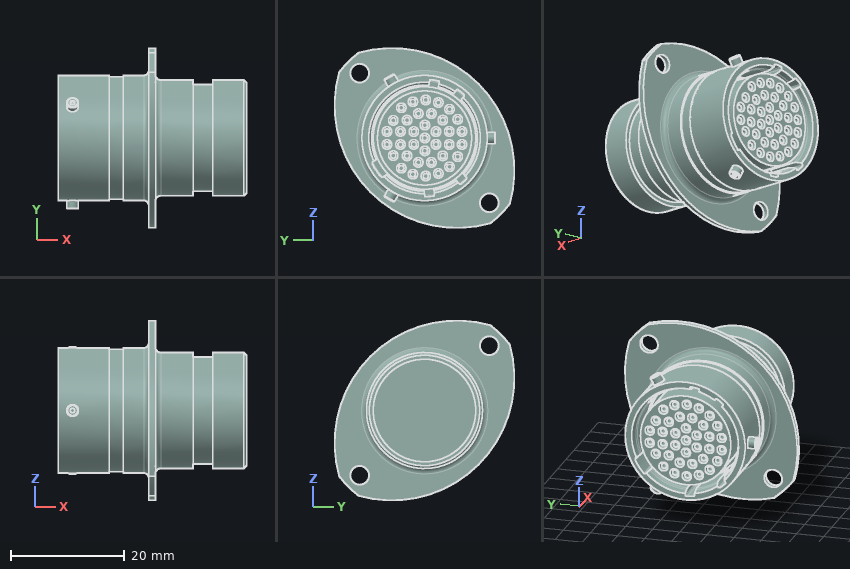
import cadquery as cq
import math


LENGTH = 33.3
FRONT_GROOVE_START = 9.0
FRONT_GROOVE_END = 11.53
FLANGE_FRONT = 16.0
FLANGE_THICKNESS = 1.2
FLANGE_BACK = FLANGE_FRONT + FLANGE_THICKNESS
REAR_GROOVE_START = 23.85
REAR_GROOVE_END = 27.28

BARREL_DIAMETER = 22.15
BARREL_RADIUS = BARREL_DIAMETER / 2
FRONT_GROOVE_DEPTH = 0.23
FRONT_GROOVE_RADIUS = BARREL_RADIUS - FRONT_GROOVE_DEPTH
REAR_RADIUS = 10.25
REAR_GROOVE_RADIUS = 9.45
ROOT_FILLET = 0.9
REAR_CHAMFER = 0.5

FLANGE_TILT = 45.0
SIDE_ARC_RADIUS = 21.65
SIDE_ARC_OFFSET = 8.13
TIP_ARC_RADIUS = 19.05
MOUNT_HOLE_RADIUS = 1.63
MOUNT_HOLE_DISTANCE = 16.2

SOCKET_MOUTH_RADIUS = 9.85
SOCKET_THROAT_RADIUS = 9.45
SOCKET_RADIUS = 9.35
SOCKET_MOUTH_DEPTH = 1.13
SOCKET_THROAT_DEPTH = 1.65
SOCKET_DEPTH = 8.0

NARROW_KEYWAY_WIDTH = 1.73
NARROW_KEYWAY_REACH = 10.35
WIDE_KEYWAY_WIDTH = 3.23
WIDE_KEYWAY_REACH = 10.25
KEYWAY_FILLET = 0.25
NARROW_KEYWAY_ANGLES = [80.0, 51.5, -48.0, -85.0]
WIDE_KEYWAY_ANGLE = 214.0

INSERT_RADIUS = 9.05
INSERT_NOSE_RADIUS = 8.33
INSERT_RECESS = 0.33

SEAL_RADIUS = 10.4
SEAL_THICKNESS = 1.0
SEAL_FILLET = 0.3
SEAL_BACK = SOCKET_DEPTH + SEAL_THICKNESS

CAVITY_MOUTH_RADIUS = 0.83
CAVITY_BORE_RADIUS = 0.45
CAVITY_CONE_DEPTH = 0.4
CAVITY_DEPTH = 2.65
INNER_RINGS_OFFSET = -0.05
INNER_RING_RADIUS = 2.25
MIDDLE_RING_RADIUS = 4.45
OUTER_RING_RADIUS = 6.73
OUTER_RING_STEP = 19.6
ODD_CAVITY_RADIUS = 6.33
ODD_CAVITY_ANGLE = 150.6

PIN_COUNT = 3
PIN_POSITION = 2.53
PIN_RADIUS = 1.03
PIN_TIP = 12.52
PIN_ROOT = 10.5
PIN_CHAMFER = 0.13
PIN_HOLE_RADIUS = 0.4
PIN_HOLE_DEPTH = 0.33


def about_axis(shape, angle):
    """Turn a shape built towards -Y about the X axis, towards +Z."""
    return shape.rotate((0, 0, 0), (1, 0, 0), -angle)


def cylinder(start, end, radius):
    """A solid cylinder along the X axis."""
    return cq.Workplane("YZ", origin=(start, 0, 0)).circle(radius).extrude(end - start)


def make_flange():
    """The oval mounting plate, tilted about the X axis, with a hole near each tip."""
    plate = cylinder(FLANGE_FRONT, FLANGE_BACK, TIP_ARC_RADIUS)
    for side in (-1, 1):
        side_disc = cylinder(FLANGE_FRONT, FLANGE_BACK, SIDE_ARC_RADIUS)
        plate = plate.intersect(side_disc.translate((0, 0, side * SIDE_ARC_OFFSET)))
    for side in (-1, 1):
        hole = cylinder(FLANGE_FRONT, FLANGE_BACK, MOUNT_HOLE_RADIUS)
        plate = plate.cut(hole.translate((0, side * MOUNT_HOLE_DISTANCE, 0)))
    return plate.rotate((0, 0, 0), (1, 0, 0), FLANGE_TILT)


def make_barrel():
    """The turned outside of the shell, with fillets running into the flange faces."""
    fillet_mid = ROOT_FILLET * (1 - math.sqrt(0.5))
    profile = (
        cq.Workplane("XY")
        .moveTo(0, 0)
        .lineTo(0, BARREL_RADIUS)
        .lineTo(FRONT_GROOVE_START, BARREL_RADIUS)
        .lineTo(FRONT_GROOVE_START, FRONT_GROOVE_RADIUS)
        .lineTo(FRONT_GROOVE_END, FRONT_GROOVE_RADIUS)
        .lineTo(FRONT_GROOVE_END, BARREL_RADIUS)
        .lineTo(FLANGE_FRONT - ROOT_FILLET, BARREL_RADIUS)
        .threePointArc(
            (FLANGE_FRONT - fillet_mid, BARREL_RADIUS + fillet_mid),
            (FLANGE_FRONT, BARREL_RADIUS + ROOT_FILLET),
        )
        .lineTo(FLANGE_BACK, BARREL_RADIUS + ROOT_FILLET)
        .lineTo(FLANGE_BACK, REAR_RADIUS + ROOT_FILLET)
        .threePointArc(
            (FLANGE_BACK + fillet_mid, REAR_RADIUS + fillet_mid),
            (FLANGE_BACK + ROOT_FILLET, REAR_RADIUS),
        )
        .lineTo(REAR_GROOVE_START, REAR_RADIUS)
        .lineTo(REAR_GROOVE_START, REAR_GROOVE_RADIUS)
        .lineTo(REAR_GROOVE_END, REAR_GROOVE_RADIUS)
        .lineTo(REAR_GROOVE_END, REAR_RADIUS)
        .lineTo(LENGTH - REAR_CHAMFER, REAR_RADIUS)
        .lineTo(LENGTH, REAR_RADIUS - REAR_CHAMFER)
        .lineTo(LENGTH, 0)
        .close()
    )
    return profile.revolve(360, (0, 0, 0), (1, 0, 0))


def make_socket():
    """The space inside the shell: a tapered front socket, the seal pocket and the insert bore."""
    profile = (
        cq.Workplane("XY")
        .moveTo(0, 0)
        .lineTo(0, SOCKET_MOUTH_RADIUS)
        .lineTo(SOCKET_MOUTH_DEPTH, SOCKET_THROAT_RADIUS)
        .lineTo(SOCKET_THROAT_DEPTH, SOCKET_RADIUS)
        .lineTo(SOCKET_DEPTH, SOCKET_RADIUS)
        .lineTo(SOCKET_DEPTH, SEAL_RADIUS)
        .lineTo(SEAL_BACK, SEAL_RADIUS)
        .lineTo(SEAL_BACK, INSERT_RADIUS)
        .lineTo(LENGTH, INSERT_RADIUS)
        .lineTo(LENGTH, 0)
        .close()
    )
    return profile.revolve(360, (0, 0, 0), (1, 0, 0))


def make_keyway(angle, width, reach):
    """A straight-sided slot along the socket wall, with a concentric outer face."""
    slot = (
        cq.Workplane("YZ")
        .center(-reach / 2, 0)
        .rect(reach, width)
        .extrude(SOCKET_DEPTH)
        .intersect(cylinder(0, SOCKET_DEPTH, reach))
        .edges("|X and (not >Y)")
        .fillet(KEYWAY_FILLET)
    )
    return about_axis(slot, angle)


def make_pin_blank():
    """The plain round pin, standing on its seat in the barrel wall and pointing towards -Y."""
    blank = cq.Workplane("XZ", origin=(PIN_POSITION, -PIN_ROOT, 0))
    return blank.circle(PIN_RADIUS).extrude(PIN_TIP - PIN_ROOT)


def make_pin(index):
    """A bayonet pin with a blind hole in its chamfered end."""
    pin = make_pin_blank().faces("<Y").chamfer(PIN_CHAMFER)
    pin = pin.faces("<Y").workplane().hole(2 * PIN_HOLE_RADIUS, PIN_HOLE_DEPTH)
    return about_axis(pin, index * 360 / PIN_COUNT)


def make_pin_seat(index):
    """The round blind hole in the shell that a bayonet pin fits."""
    return about_axis(make_pin_blank(), index * 360 / PIN_COUNT)


def make_shell():
    """The flanged shell, with its socket, keyways and pin seats cut."""
    shell = make_barrel().union(make_flange()).cut(make_socket())
    for angle in NARROW_KEYWAY_ANGLES:
        shell = shell.cut(make_keyway(angle, NARROW_KEYWAY_WIDTH, NARROW_KEYWAY_REACH))
    shell = shell.cut(make_keyway(WIDE_KEYWAY_ANGLE, WIDE_KEYWAY_WIDTH, WIDE_KEYWAY_REACH))
    for index in range(PIN_COUNT):
        shell = shell.cut(make_pin_seat(index))
    return shell


def cavity_centres():
    """(Y, Z) of the 37 cavities: a centre, rings of 6 and 12, and an outer row of 18."""
    inner = [(INNER_RING_RADIUS, 30 + 60 * i) for i in range(3)]
    inner += [(MIDDLE_RING_RADIUS, 15 + 30 * i) for i in range(6)]
    outer = [(OUTER_RING_RADIUS, OUTER_RING_STEP * (i + 0.5)) for i in range(7)]
    outer += [(ODD_CAVITY_RADIUS, ODD_CAVITY_ANGLE)]
    outer += [(OUTER_RING_RADIUS, 180 - OUTER_RING_STEP / 2)]
    centres = [(INNER_RINGS_OFFSET, 0.0)]
    for upper_half, offset in ((inner, INNER_RINGS_OFFSET), (outer, 0.0)):
        for radius, angle in upper_half:
            y = offset - radius * math.cos(math.radians(angle))
            z = radius * math.sin(math.radians(angle))
            centres += [(y, z), (y, -z)]
    return centres


def make_cavity():
    """A blind contact cavity with a tapered mouth, on the X axis."""
    cone_end = INSERT_RECESS + CAVITY_CONE_DEPTH
    cavity_end = INSERT_RECESS + CAVITY_DEPTH
    profile = (
        cq.Workplane("XY")
        .moveTo(INSERT_RECESS, 0)
        .lineTo(INSERT_RECESS, CAVITY_MOUTH_RADIUS)
        .lineTo(cone_end, CAVITY_BORE_RADIUS)
        .lineTo(cavity_end, CAVITY_BORE_RADIUS)
        .lineTo(cavity_end, 0)
        .close()
    )
    return profile.revolve(360, (0, 0, 0), (1, 0, 0))


def make_insert():
    """The contact carrier: a nose standing in the socket and a body filling the bore behind it."""
    nose = cylinder(INSERT_RECESS, SOCKET_DEPTH, INSERT_NOSE_RADIUS)
    insert = nose.union(cylinder(SOCKET_DEPTH, LENGTH, INSERT_RADIUS))
    cavity = make_cavity().val()
    for y, z in cavity_centres():
        insert = insert.cut(cq.Workplane(cavity.translate(cq.Vector(0, y, z))))
    return insert


def make_seal():
    """The flat ring around the insert, with a rounded front outer edge."""
    disc = cylinder(SOCKET_DEPTH, SEAL_BACK, SEAL_RADIUS).faces("<X").edges().fillet(SEAL_FILLET)
    return disc.cut(cylinder(SOCKET_DEPTH, SEAL_BACK, INSERT_RADIUS))


shell = make_shell()
insert = make_insert()
seal = make_seal()
pins = [make_pin(index) for index in range(PIN_COUNT)]

result = cq.Compound.makeCompound(
    [shell.val(), insert.val(), seal.val(), *[pin.val() for pin in pins]]
)